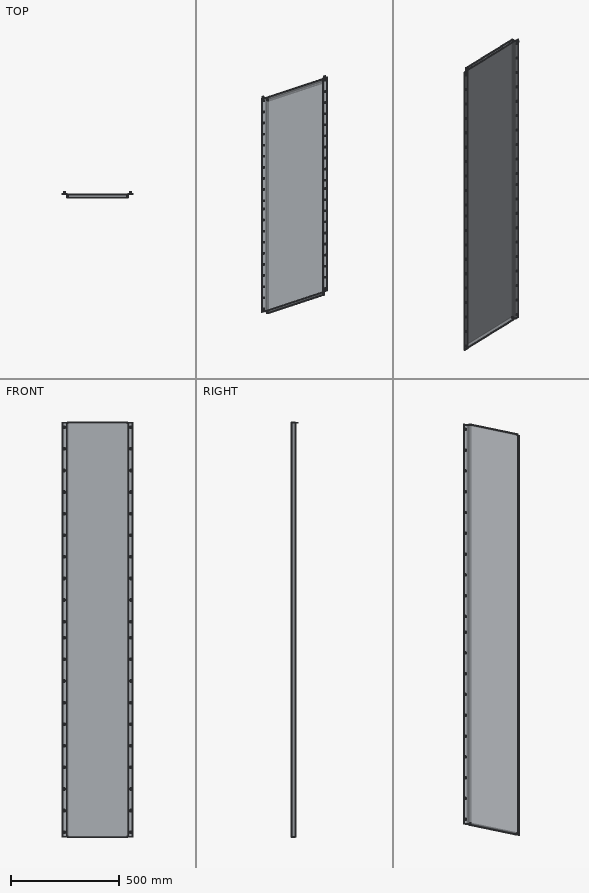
import cadquery as cq
import math

length = 1922.0
overall_depth = 29.0

sheet = 1.5
pan_width = 285.0
side_depth = 20.0
end_depth = 16.3
bend_radius = 5.4
inner_radius = bend_radius - sheet

flange_flat_width = 18.3
flange_end_gap = 2.0
flange_inner_radius = 1.5
tab_width = 5.0

hole_diameter = 8.0
hole_edge_distance = 8.5
hole_pitch = 100.0
holes_per_group = 10
group_gap = 75.0

flange_bend_x = pan_width / 2 + flange_inner_radius
flange_edge_x = flange_bend_x + flange_flat_width
front_y = -overall_depth / 2
rim_y = front_y + side_depth
side_rim_y = rim_y - sheet - flange_inner_radius
end_rim_y = front_y + end_depth
side_length = length - 2 * flange_end_gap
end_width = pan_width - 2 * bend_radius
hole_x = flange_edge_x - hole_edge_distance
tab_x = flange_bend_x + flange_flat_width / 2


def box_between(x_range, y_range, z_range):
    """Box given by its lower and upper limit along each axis."""
    (x0, x1), (y0, y1), (z0, z1) = x_range, y_range, z_range
    return cq.Workplane("XY").box(x1 - x0, y1 - y0, z1 - z0, centered=False).translate((x0, y0, z0))


def make_channel(width, back_y, height, bend_axis):
    """Front panel with two opposite walls, bent along edges parallel to bend_axis.

    The width runs along X and the height along Z.
    """
    spread_x = sheet if bend_axis == "Z" else 0
    spread_z = sheet if bend_axis == "X" else 0
    half_x = width / 2
    half_z = height / 2
    outside = box_between((-half_x, half_x), (front_y, back_y), (-half_z, half_z))
    inside = box_between(
        (-half_x + spread_x, half_x - spread_x),
        (front_y + sheet, back_y),
        (-half_z + spread_z, half_z - spread_z),
    )
    bends = "|" + bend_axis
    outside = outside.faces("<Y").edges(bends).fillet(bend_radius)
    inside = inside.faces("<Y").edges(bends).fillet(inner_radius)
    return outside.cut(inside)


def make_pan():
    """Shallow tray with four bent walls that stay apart at its corners."""
    half_x = end_width / 2
    straight_z = length / 2 - bend_radius
    pan = make_channel(pan_width, side_rim_y, side_length, "Z")
    for z_range in [(straight_z, length), (-length, -straight_z)]:
        pan = pan.cut(box_between((-half_x, half_x), (front_y, rim_y), z_range))
    return pan.union(make_channel(end_width, end_rim_y, length, "X"))


def make_flange():
    """Right-hand flange, curving out of the side wall, with a tab bent back at its top end."""
    wall_x = pan_width / 2
    top_z = side_length / 2
    inner_mid = flange_inner_radius * math.sqrt(0.5)
    outer_mid = (flange_inner_radius + sheet) * math.sqrt(0.5)
    inner_arc_middle = (flange_bend_x - inner_mid, side_rim_y + inner_mid)
    outer_arc_middle = (flange_bend_x - outer_mid, side_rim_y + outer_mid)
    flange = (
        cq.Workplane("XY", origin=(0, 0, -top_z))
        .moveTo(wall_x, side_rim_y)
        .threePointArc(inner_arc_middle, (flange_bend_x, rim_y - sheet))
        .lineTo(flange_edge_x, rim_y - sheet)
        .lineTo(flange_edge_x, rim_y)
        .lineTo(flange_bend_x, rim_y)
        .threePointArc(outer_arc_middle, (wall_x - sheet, side_rim_y))
        .close()
        .extrude(side_length)
    )
    tab_range = (tab_x - tab_width / 2, tab_x + tab_width / 2)
    tab = box_between(tab_range, (rim_y - sheet, overall_depth / 2), (top_z - sheet, top_z))
    return flange.union(tab)


def hole_heights():
    """Z of every hole, the two groups mirrored about mid-length."""
    upper = [group_gap / 2 + i * hole_pitch for i in range(holes_per_group)]
    return [side * z for side in (-1, 1) for z in upper]


def make_holes():
    """Drills for the holes along the right-hand flange."""
    points = [(hole_x, z) for z in hole_heights()]
    return cq.Workplane("XZ").pushPoints(points).circle(hole_diameter / 2).extrude(side_depth, both=True)


right_flange = make_flange().cut(make_holes())
left_flange = right_flange.mirror("YZ")
result = make_pan().union(right_flange).union(left_flange)